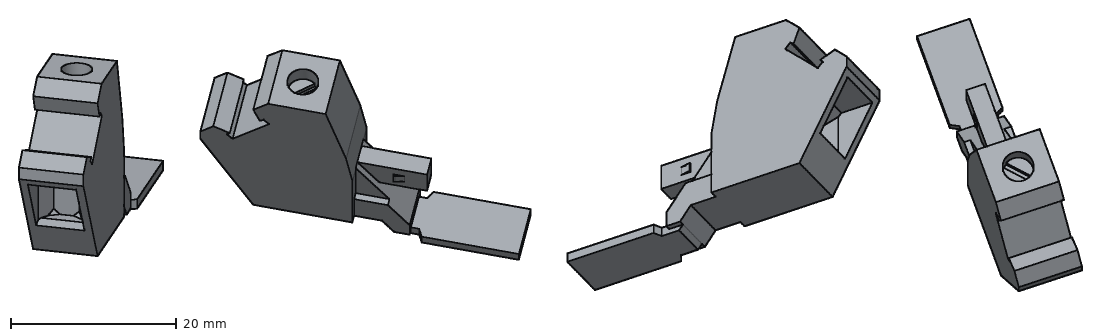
import cadquery as cq


overall_length = 39.35
overall_height = 24.65

body_width = 8.1
body_height = 22.05
body_bottom_front_y = -12.28
nose_y = -18.85
nose_bottom_z = 12.05
housing_outline = [
    (0, 0),
    (body_bottom_front_y, 0),
    (nose_y, nose_bottom_z),
    (nose_y, 13.58),
    (-17.25, 15.2),
    (-15.2, 14.35),
    (-15.55, 13.95),
    (-14.85, 13.25),
    (-10.3, 17.75),
    (-11.0, 18.45),
    (-11.45, 18.1),
    (-12.28, 20.23),
    (-10.43, body_height),
    (-3.3, body_height),
    (-0.8, 13.38),
    (0, 8.9),
]

screw_y = -7.0
screw_radius = 1.9
screw_well_depth = 2.12
screw_slot_width = 0.65
screw_slot_depth = 0.6
screw_slot_angle = -48

entry_width = 6.05
entry_bottom_z = 4.25
entry_top_z = 11.25
entry_mouth_run = 0.95
entry_floor_run = 1.3
entry_floor_rise = 0.47
entry_back_y = -11.7
entry_back_width = 3.2
entry_back_top_z = 8.85
gusset_height = 0.65
gusset_back_length = 0.75
gusset_side_width = 0.55

bracket_width = 6.05
bracket_ledge_z = 3.55
bracket_back_y = 6.9
bracket_back_top_z = 0.1
bracket_bottom_z = -1.93
bracket_toe_y = 4.95
bracket_heel_y = 3.45
web_left_x = -2.25
web_right_x = 2.12

blade_width = 6.75
blade_neck_width = 4.65
blade_top_z = -1.35
blade_bottom_z = body_height - overall_height
blade_end_y = nose_y + overall_length
blade_front_y = 5.5
blade_neck_y = 7.9
blade_shoulder_y = 8.45

pin_width = 2.45
pin_length = 8.65
pin_bottom_z = 5.4
pin_top_z = 8.85
catch_rise = 0.25
catch_start_y = 4.5
catch_crest_y = 4.72
catch_end_y = 5.82
catch_bottom_z = 6.45
catch_top_z = 7.65


def side_prism(points, left_x, right_x):
    """Extrude a (y, z) outline from left_x to right_x."""
    plane = cq.Workplane("YZ", origin=(left_x, 0, 0))
    return plane.polyline(points).close().extrude(right_x - left_x)


def centred_prism(points, width):
    return side_prism(points, -width / 2, width / 2)


def plan_prism(points, bottom_z, top_z):
    """Extrude an (x, y) outline from bottom_z to top_z."""
    plane = cq.Workplane("XY", origin=(0, 0, bottom_z))
    return plane.polyline(points).close().extrude(top_z - bottom_z)


def tetrahedron(a, b, c, d):
    corners = [cq.Vector(*p) for p in (a, b, c, d)]
    faces = []
    for skipped in range(4):
        triangle = [p for i, p in enumerate(corners) if i != skipped]
        faces.append(cq.Face.makeFromWires(cq.Wire.makePolygon(triangle, close=True)))
    return cq.Workplane(cq.Solid.makeSolid(cq.Shell.makeShell(faces)))


entry_face_run = (nose_y - body_bottom_front_y) / nose_bottom_z


def entry_face_y(z):
    return body_bottom_front_y + entry_face_run * z


def wire_entry():
    """Square mouth that narrows at the top and sides towards a flat back wall."""
    mouth_end_y = entry_face_y(entry_bottom_z) + entry_mouth_run
    floor_break_y = entry_face_y(entry_bottom_z) + entry_floor_run
    floor_z = entry_bottom_z + entry_floor_rise
    ceiling_break_y = entry_back_y - (entry_top_z - entry_back_top_z)
    profile = [
        (entry_face_y(entry_bottom_z), entry_bottom_z),
        (floor_break_y, floor_z),
        (entry_back_y, floor_z),
        (entry_back_y, entry_back_top_z),
        (ceiling_break_y, entry_top_z),
        (entry_face_y(entry_top_z), entry_top_z),
    ]
    plan = [
        (-entry_width / 2, nose_y),
        (entry_width / 2, nose_y),
        (entry_width / 2, mouth_end_y),
        (entry_back_width / 2, entry_back_y),
        (-entry_back_width / 2, entry_back_y),
        (-entry_width / 2, mouth_end_y),
    ]
    cavity = centred_prism(profile, entry_width).intersect(plan_prism(plan, 0, body_height))

    taper_run = (entry_back_y - mouth_end_y) / ((entry_width - entry_back_width) / 2)
    gusset_front_y = entry_back_y - taper_run * gusset_side_width
    corner_x = entry_back_width / 2
    for side in (-1, 1):
        gusset = tetrahedron(
            (side * corner_x, entry_back_y, floor_z),
            (side * corner_x, entry_back_y, floor_z + gusset_height),
            (side * (corner_x - gusset_back_length), entry_back_y, floor_z),
            (side * (corner_x + gusset_side_width), gusset_front_y, floor_z),
        )
        cavity = cavity.cut(gusset)
    return cavity


def screw_well():
    """Round well whose floor is the slotted screw head."""
    floor_z = body_height - screw_well_depth
    well = cq.Workplane("XY", origin=(0, screw_y, floor_z)).circle(screw_radius).extrude(screw_well_depth)
    slot_plane = cq.Workplane("XY", origin=(0, screw_y, floor_z - screw_slot_depth))
    head = slot_plane.circle(screw_radius).extrude(screw_slot_depth)
    slot = (
        slot_plane.transformed(rotate=(0, 0, screw_slot_angle))
        .rect(2 * screw_radius, screw_slot_width)
        .extrude(screw_slot_depth)
    )
    return well.union(slot.intersect(head))


def housing():
    return centred_prism(housing_outline, body_width).cut(wire_entry()).cut(screw_well())


def bracket():
    """Wide foot with a narrower triangular web above its ledge, sharing one sloping back."""
    slope_run = bracket_back_y / (pin_top_z - bracket_back_top_z)
    ledge_back_y = slope_run * (pin_top_z - bracket_ledge_z)
    foot = [
        (0, 0),
        (0, bracket_ledge_z),
        (ledge_back_y, bracket_ledge_z),
        (bracket_back_y, bracket_back_top_z),
        (bracket_back_y, bracket_bottom_z),
        (bracket_toe_y, bracket_bottom_z),
        (bracket_heel_y, 0),
    ]
    web = [
        (0, bracket_ledge_z),
        (ledge_back_y, bracket_ledge_z),
        (0, pin_top_z),
    ]
    return centred_prism(foot, bracket_width).union(side_prism(web, web_left_x, web_right_x))


def blade():
    """Flat tab with a necked front end, bevelled in line with the bracket toe."""
    half_width = blade_width / 2
    half_neck = blade_neck_width / 2
    plan = [
        (-half_neck, 0),
        (half_neck, 0),
        (half_neck, blade_neck_y),
        (half_width, blade_shoulder_y),
        (half_width, blade_end_y),
        (-half_width, blade_end_y),
        (-half_width, blade_shoulder_y),
        (-half_neck, blade_neck_y),
    ]
    profile = [
        (blade_front_y, blade_bottom_z),
        (blade_end_y, blade_bottom_z),
        (blade_end_y, blade_top_z),
        (bracket_toe_y, blade_top_z),
        (bracket_toe_y, bracket_bottom_z),
    ]
    tab = plan_prism(plan, blade_bottom_z, blade_top_z)
    return tab.intersect(centred_prism(profile, blade_width))


def pin():
    """Square pin with a ramped catch on each side."""
    bar = cq.Workplane("XY").box(
        pin_width, pin_length, pin_top_z - pin_bottom_z, centered=(True, False, False)
    ).translate((0, 0, pin_bottom_z))
    half_width = pin_width / 2
    crest_x = half_width + catch_rise
    catches = [
        (-half_width, catch_start_y),
        (-crest_x, catch_start_y),
        (-crest_x, catch_crest_y),
        (-half_width, catch_end_y),
        (half_width, catch_end_y),
        (crest_x, catch_crest_y),
        (crest_x, catch_start_y),
        (half_width, catch_start_y),
    ]
    return bar.union(plan_prism(catches, catch_bottom_z, catch_top_z))


result = housing().union(bracket()).union(blade()).union(pin())